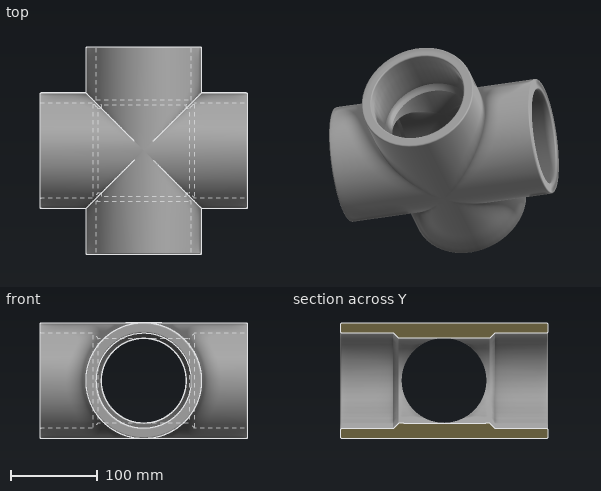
import cadquery as cq

LENGTH = 240.0
OUTER_DIAMETER = 134.0
BORE_DIAMETER = 98.0
SOCKET_DIAMETER = 110.0
SOCKET_DEPTH = 61.2
RIM_FILLET = 1.7

HALF_LENGTH = LENGTH / 2
OUTER_RADIUS = OUTER_DIAMETER / 2
BORE_RADIUS = BORE_DIAMETER / 2
SOCKET_RADIUS = SOCKET_DIAMETER / 2


def outer_pipe():
    """Solid pipe along X with both end rims rounded."""
    pipe = cq.Workplane("YZ").circle(OUTER_RADIUS).extrude(HALF_LENGTH, both=True)
    return pipe.faces("<X or >X").fillet(RIM_FILLET)


def pipe_cavity():
    """Through bore along X, widening over a 45 degree cone to a socket with a rounded mouth at each end."""
    cone_end = HALF_LENGTH - SOCKET_DEPTH
    cone_start = cone_end - (SOCKET_RADIUS - BORE_RADIUS)
    half = (
        cq.Workplane("XY")
        .lineTo(0, BORE_RADIUS)
        .lineTo(cone_start, BORE_RADIUS)
        .lineTo(cone_end, SOCKET_RADIUS)
        .lineTo(HALF_LENGTH - RIM_FILLET, SOCKET_RADIUS)
        .tangentArcPoint((HALF_LENGTH, SOCKET_RADIUS + RIM_FILLET), relative=False)
        .lineTo(HALF_LENGTH, 0)
        .close()
        .revolve(360, (0, 0, 0), (1, 0, 0))
    )
    return half.union(half.mirror("YZ"))


def crossed(body):
    """Join a body along X with its copy along Y."""
    return body.union(body.rotate((0, 0, 0), (0, 0, 1), 90))


result = crossed(outer_pipe()).cut(crossed(pipe_cavity()))